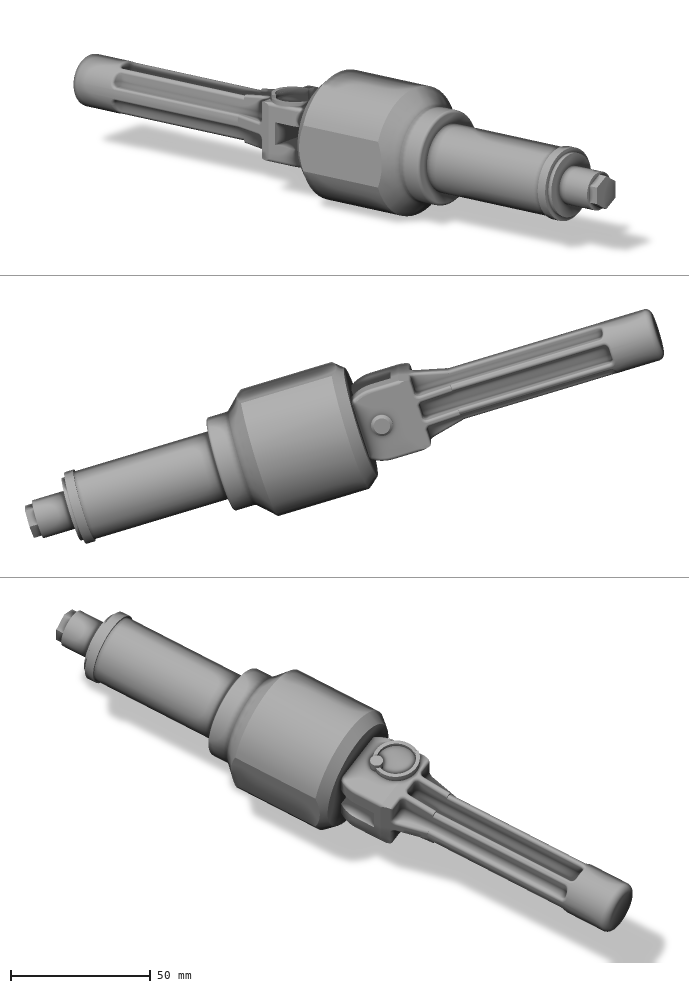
import cadquery as cq
import math

TOTAL_LENGTH = 236.4
TOLERANCE = 0.05

HANDLE_RADIUS = 9.6
TIP_FILLET = 2.4
CENTRE_POCKET_START = 17.7
CORNER_POCKET_START = 18.5
POCKET_END = 89.2
SIDE_RIB_HALF = 2.4
CENTRE_POCKET_HALF = 3.5
UPRIGHT_OUTER = 5.9
POCKET_FILLET = 1.6
MOUTH_FILLET = 0.95
CUTTER_REACH = 20.0

FLARE_START = 76.1
CLEVIS_START = 93.3
FLARE_HALF_Z = 9.0
CLEVIS_HALF_Y = 13.8
CLEVIS_HALF_Z = 11.1
CLEVIS_FILLET = 1.3
SLOT_START = 96.2
SLOT_HALF_Z = 4.3

PIN_X = 103.8
PIN_RADIUS = 4.63 / 2
PIN_TOP = 14.8
PIN_HEAD_RADIUS = 7.9 / 2
PIN_HEAD_HEIGHT = 1.6
PIN_HEAD_CHAMFER = 1.0

RING_X = 98.9
RING_Y = -5.5
RING_INNER_RADIUS = 14.22 / 2
RING_OUTER_RADIUS = 8.5
RING_THICKNESS = 1.4
RING_TILT = 3.0
RING_COIL_START = 50.0
RING_COIL_END = 235.0

NUT_START = 111.7
NUT_RADIUS = 47.625 / 2
NUT_HALF_FLATS = 44.45 / 2
NUT_CHAMFER_LENGTH = 4.0
NUT_CHAMFER_DEPTH = 3.4
NUT_CONE_START = 149.8
COLLAR_START = 156.5
COLLAR_END = 164.6
COLLAR_RADIUS = 34.92 / 2
COLLAR_FILLET = 1.0

SHAFT_RADIUS = 25.4 / 2
FLANGE_START = 215.7
FLANGE_END = 219.1
FLANGE_RADIUS = 26.92 / 2
SHOULDER_END = 220.6
SHOULDER_RADIUS = 23.52 / 2
STUB_END = 233.2
STUB_RADIUS = 14.22 / 2
HEX_FLATS = 10.72


def rod(radius, start, end):
    """Cylinder on the X axis between two X positions."""
    return cq.Workplane("YZ", origin=(start, 0, 0)).circle(radius).extrude(end - start)


def block(x_range, y_range, z_range):
    """Box given by its limits along each axis."""
    (x0, x1), (y0, y1), (z0, z1) = x_range, y_range, z_range
    return cq.Workplane("XY").box(x1 - x0, y1 - y0, z1 - z0, centered=False).translate((x0, y0, z0))


def make_clevis():
    """Flare from the handle into a round-ended fork with a slot across it."""
    side_profile = (
        cq.Workplane("XZ")
        .moveTo(FLARE_START, -FLARE_HALF_Z)
        .lineTo(CLEVIS_START, -CLEVIS_HALF_Z)
        .lineTo(PIN_X + CLEVIS_HALF_Y, -CLEVIS_HALF_Z)
        .lineTo(PIN_X + CLEVIS_HALF_Y, CLEVIS_HALF_Z)
        .lineTo(CLEVIS_START, CLEVIS_HALF_Z)
        .lineTo(FLARE_START, FLARE_HALF_Z)
        .close()
        .extrude(CLEVIS_HALF_Y, both=True)
    )
    plan_profile = (
        cq.Workplane("XY")
        .moveTo(FLARE_START, -HANDLE_RADIUS)
        .lineTo(CLEVIS_START, -CLEVIS_HALF_Y)
        .lineTo(PIN_X, -CLEVIS_HALF_Y)
        .threePointArc((PIN_X + CLEVIS_HALF_Y, 0), (PIN_X, CLEVIS_HALF_Y))
        .lineTo(CLEVIS_START, CLEVIS_HALF_Y)
        .lineTo(FLARE_START, HANDLE_RADIUS)
        .close()
        .extrude(CLEVIS_HALF_Z, both=True)
    )
    clevis = side_profile.intersect(plan_profile)
    rim = cq.selectors.BoxSelector(
        (CLEVIS_START + TOLERANCE, -CUTTER_REACH, -CUTTER_REACH),
        (NUT_START + CUTTER_REACH, CUTTER_REACH, CUTTER_REACH),
    )
    clevis = clevis.faces("<Z or >Z").edges(rim).fillet(CLEVIS_FILLET)
    slot = block((SLOT_START, NUT_START), (-CUTTER_REACH, CUTTER_REACH), (-SLOT_HALF_Z, SLOT_HALF_Z))
    return clevis.cut(slot)


def make_pockets():
    """Cutters for the pockets on +Z and -Z and the four corner pockets, leaving ribs between them."""
    centre = block(
        (CENTRE_POCKET_START, POCKET_END),
        (-CENTRE_POCKET_HALF, CENTRE_POCKET_HALF),
        (SIDE_RIB_HALF, CUTTER_REACH),
    )
    centre = centre.edges("|Z or <Z").fillet(POCKET_FILLET)
    corner = block(
        (CORNER_POCKET_START, POCKET_END),
        (UPRIGHT_OUTER, CUTTER_REACH),
        (SIDE_RIB_HALF, CUTTER_REACH),
    )
    corner = corner.edges("(|X and <Y and <Z) or (|Z and <Y) or (|Y and <Z)").fillet(POCKET_FILLET)
    upper = centre.union(corner).union(corner.mirror("XZ"))
    return upper.union(upper.mirror("XY"))


def make_grip(pockets):
    """Round handle with a rounded tip and rounded rib edges."""
    grip = rod(HANDLE_RADIUS, 0, FLARE_START).faces("<X").edges().fillet(TIP_FILLET).cut(pockets)

    def is_rib_edge(edge):
        middle = edge.Center()
        on_surface = math.hypot(middle.y, middle.z) > HANDLE_RADIUS - TOLERANCE
        return on_surface and abs(middle.z) > SIDE_RIB_HALF - TOLERANCE

    return grip.edges("|X").filter(is_rib_edge).fillet(MOUTH_FILLET)


def make_flared_clevis(pockets):
    """Clevis and flare with the pockets run into it and their rims rounded."""
    clevis = make_clevis().cut(pockets)

    def is_rim_edge(edge):
        middle = edge.Center()
        along = (middle.x - FLARE_START) / (CLEVIS_START - FLARE_START)
        half_y = HANDLE_RADIUS + along * (CLEVIS_HALF_Y - HANDLE_RADIUS)
        half_z = FLARE_HALF_Z + along * (CLEVIS_HALF_Z - FLARE_HALF_Z)
        on_surface = max(abs(middle.y) - half_y, abs(middle.z) - half_z) > -TOLERANCE
        return on_surface and FLARE_START + TOLERANCE < middle.x < POCKET_END + TOLERANCE

    return clevis.edges().filter(is_rim_edge).fillet(MOUTH_FILLET)


def make_pin():
    """Pin across the slot with a chamfered head below the clevis."""
    shank = cq.Workplane("XY", origin=(PIN_X, 0, -CLEVIS_HALF_Z)).circle(PIN_RADIUS)
    shank = shank.extrude(PIN_TOP + CLEVIS_HALF_Z)
    head = cq.Workplane("XY", origin=(PIN_X, 0, -CLEVIS_HALF_Z)).circle(PIN_HEAD_RADIUS)
    head = head.extrude(-PIN_HEAD_HEIGHT).faces("<Z").edges().chamfer(PIN_HEAD_CHAMFER)
    return shank.union(head)


def make_ring():
    """Split ring: a flat coil on the clevis and a part coil that climbs over it toward the handle."""
    lower = cq.Workplane("XY").circle(RING_OUTER_RADIUS).circle(RING_INNER_RADIUS).extrude(RING_THICKNESS)
    section_width = RING_OUTER_RADIUS - RING_INNER_RADIUS
    section_centre = (RING_OUTER_RADIUS + RING_INNER_RADIUS) / 2
    upper = (
        cq.Workplane("XZ")
        .center(section_centre, RING_THICKNESS + RING_THICKNESS / 2)
        .rect(section_width, RING_THICKNESS)
        .revolve(RING_COIL_END - RING_COIL_START, (-section_centre, 0, 0), (-section_centre, 1, 0))
        .rotate((0, 0, 0), (0, 0, 1), RING_COIL_START)
    )
    high_side = (-RING_OUTER_RADIUS, 0, 2 * RING_THICKNESS)
    upper = upper.rotate(high_side, (-RING_OUTER_RADIUS, 1, 2 * RING_THICKNESS), RING_TILT)
    return lower.union(upper).translate((RING_X, RING_Y, CLEVIS_HALF_Z))


def make_nut():
    """Round body with two flats, a conical back and a collar."""
    body = (
        cq.Workplane("XY")
        .moveTo(NUT_START, 0)
        .lineTo(NUT_START, NUT_RADIUS - NUT_CHAMFER_DEPTH)
        .lineTo(NUT_START + NUT_CHAMFER_LENGTH, NUT_RADIUS)
        .lineTo(NUT_CONE_START, NUT_RADIUS)
        .lineTo(COLLAR_START, COLLAR_RADIUS)
        .lineTo(COLLAR_END, COLLAR_RADIUS)
        .lineTo(COLLAR_END, 0)
        .close()
        .revolve(360, (0, 0, 0), (1, 0, 0))
    )
    collar = cq.selectors.BoxSelector(
        (COLLAR_START - TOLERANCE, -CUTTER_REACH, -CUTTER_REACH),
        (COLLAR_END + TOLERANCE, CUTTER_REACH, CUTTER_REACH),
    )
    body = body.edges("%CIRCLE").edges(collar).fillet(COLLAR_FILLET)
    between_flats = block(
        (NUT_START, COLLAR_END), (-NUT_HALF_FLATS, NUT_HALF_FLATS), (-NUT_RADIUS, NUT_RADIUS)
    )
    return body.intersect(between_flats)


def make_shaft():
    """Stepped shaft ending in a hexagon with corners on +Z and -Z."""
    shaft = rod(SHAFT_RADIUS, COLLAR_END, FLANGE_START)
    shaft = shaft.union(rod(FLANGE_RADIUS, FLANGE_START, FLANGE_END))
    shaft = shaft.union(rod(SHOULDER_RADIUS, FLANGE_END, SHOULDER_END))
    shaft = shaft.union(rod(STUB_RADIUS, SHOULDER_END, STUB_END))
    corner_diameter = HEX_FLATS / math.cos(math.pi / 6)
    hexagon = (
        cq.Workplane("YZ", origin=(STUB_END, 0, 0))
        .transformed(rotate=(0, 0, 90))
        .polygon(6, corner_diameter)
        .extrude(TOTAL_LENGTH - STUB_END)
    )
    return shaft.union(hexagon)


pockets = make_pockets()
result = (
    make_grip(pockets)
    .union(make_flared_clevis(pockets))
    .union(make_pin())
    .union(make_ring())
    .union(make_nut())
    .union(make_shaft())
)